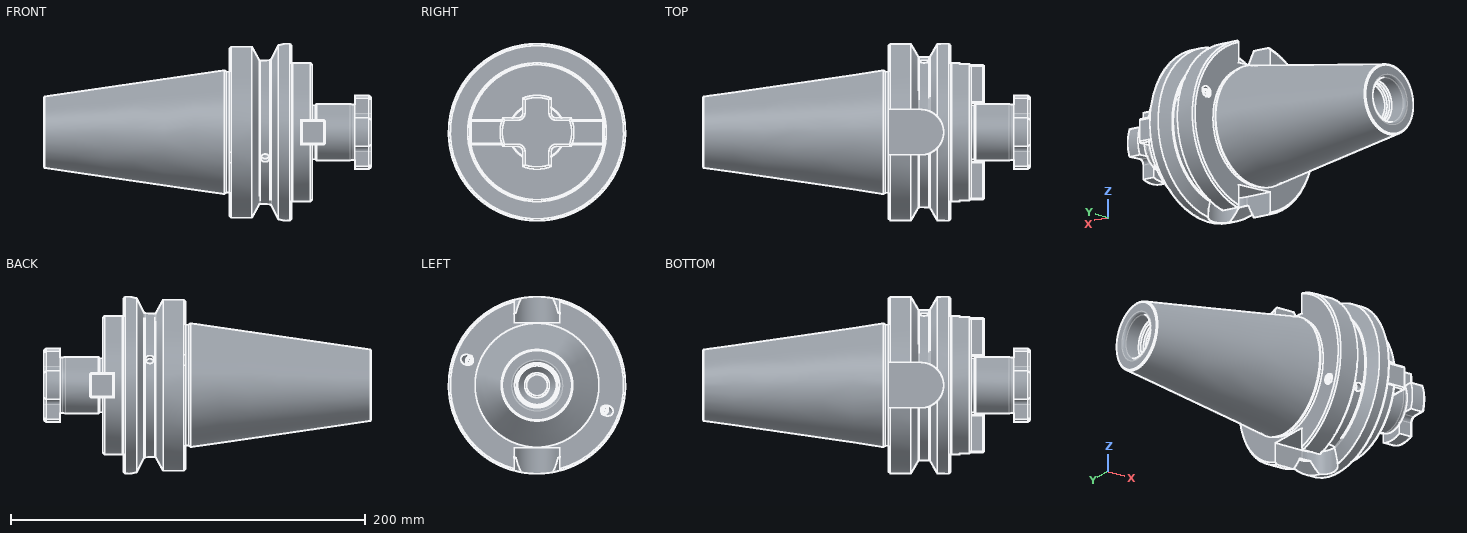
import cadquery as cq
import math

shank_end_radius = 20.1
shank_end_chamfer = 0.5
shank_length = 101.8
taper_slope = 7 / 48
taper_end_radius = shank_end_radius + taper_slope * shank_length

relief_radius = 34.2
relief_cone_length = 1.3

flange_start = 104.8
flange_end = 139.9
flange_radius = 49.99
flange_edge_chamfer = 1.1
groove_floor_radius = 42.5
groove_centre = 125.0
groove_floor_width = 6.3
groove_wall_angle = math.radians(60)
groove_corner_fillet = 0.7

slot_width = 25.7
slot_floor_height = 35.3
slot_round_centre = 123.0

boss_radius = 39.2
boss_end = 151.5
boss_chamfer = 1.1
boss_neck_radius = 38.8
boss_neck_width = 0.7
spigot_radius = 16.0
spigot_end = 175.5
spigot_relief_radius = 15.3
spigot_relief_end = 153.2
spigot_shoulder_start = 154.0
spigot_lead_start = 172.8
spigot_lead_end = 174.5
spigot_tip_radius = 15.7

bore_mouth_fillet = 1.7
bore_radius = 12.8
bore_depth = 10.3
thread_entry_radius = 11.8
thread_entry_length = 1.8
thread_radius = 10.9
thread_end = 51.7
bolt_shank_radius = 7.0
shank_start = thread_end + thread_radius - bolt_shank_radius

bolt_tip_chamfer = 1.1
head_radius = 20.9
head_end = 184.8
head_chamfer = 1.3
head_arm_width = 16.0
head_inner_fillet = 2.8

key_width = 14.0
key_start = 144.9
key_end = 159.0
key_inner = 16.3
key_outer = 38.0
key_chamfer = 1.0

coolant_turn = 20.0
coolant_circle_radius = 42.0
coolant_hole_radius = 3.0
coolant_tilt = math.radians(35)
coolant_hole_depth = 13.0
plug_recess = 2.4
plug_chamfer = 0.5
plug_socket_width = 3.0
plug_socket_depth = 2.8
cross_hole_radius = 2.4
cross_hole_point = 1.5
cross_hole_depth = 5.5

cut_margin = 1.8

opposite_turns = (0, 180)


def turned_about_x(shape, angle):
    return shape.rotate((0, 0, 0), (1, 0, 0), angle)


def revolve_about_x(points):
    """Solid of revolution from (x, radius) points."""
    return cq.Workplane("XZ").polyline(points).close().revolve(360, (0, 0, 0), (1, 0, 0))


def make_outer_form():
    wall_run = (flange_radius - groove_floor_radius) / math.tan(groove_wall_angle)
    floor_start = groove_centre - groove_floor_width / 2
    floor_end = groove_centre + groove_floor_width / 2
    outer_form = revolve_about_x([
        (0, 0),
        (0, shank_end_radius - shank_end_chamfer),
        (shank_end_chamfer, shank_end_radius + taper_slope * shank_end_chamfer),
        (shank_length, taper_end_radius),
        (shank_length + relief_cone_length, relief_radius),
        (flange_start, relief_radius),
        (flange_start, flange_radius - flange_edge_chamfer),
        (flange_start + flange_edge_chamfer, flange_radius),
        (floor_start - wall_run, flange_radius),
        (floor_start, groove_floor_radius),
        (floor_end, groove_floor_radius),
        (floor_end + wall_run, flange_radius),
        (flange_end - flange_edge_chamfer, flange_radius),
        (flange_end, flange_radius - flange_edge_chamfer),
        (flange_end, boss_neck_radius),
        (flange_end + boss_neck_width, boss_radius),
        (boss_end - boss_chamfer, boss_radius),
        (boss_end, boss_radius - boss_chamfer),
        (boss_end, spigot_relief_radius),
        (spigot_relief_end, spigot_relief_radius),
        (spigot_shoulder_start, spigot_radius),
        (spigot_lead_start, spigot_radius),
        (spigot_lead_end, spigot_tip_radius),
        (spigot_end, spigot_tip_radius),
        (spigot_end, 0),
    ])
    groove_corners = cq.selectors.NearestToPointSelector((floor_start, 0, 0))
    groove_corners = groove_corners + cq.selectors.NearestToPointSelector((floor_end, 0, 0))
    return outer_form.edges(groove_corners).fillet(groove_corner_fillet)


def make_bore():
    entry_start = bore_depth + bore_radius - thread_entry_radius
    entry_end = entry_start + thread_entry_length
    thread_start = entry_end + thread_entry_radius - thread_radius
    return revolve_about_x([
        (0, 0),
        (0, bore_radius),
        (bore_depth, bore_radius),
        (entry_start, thread_entry_radius),
        (entry_end, thread_entry_radius),
        (thread_start, thread_radius),
        (thread_end, thread_radius),
        (shank_start, bolt_shank_radius),
        (spigot_end, bolt_shank_radius),
        (spigot_end, 0),
    ])


def make_drive_slot():
    """Round-ended slot above the slot floor, open towards the shank."""
    length = slot_round_centre - shank_length
    height = flange_radius - slot_floor_height + cut_margin
    straight = cq.Workplane("XY").box(length, slot_width, height, centered=(False, True, False))
    round_end = cq.Workplane("XY").center(length, 0).circle(slot_width / 2).extrude(height)
    return straight.union(round_end).translate((shank_length, 0, slot_floor_height))


def make_key_block():
    """Sharp-edged key on the +Y side; it is also the shape of its seat."""
    return cq.Workplane("XY").box(
        key_end - key_start, key_outer - key_inner, key_width, centered=(False, False, True)
    ).translate((key_start, key_inner, 0))


def coolant_plane():
    """Plane across the coolant hole at the flange face; its normal points into the flange."""
    return cq.Plane(
        origin=(flange_start, coolant_circle_radius, 0),
        xDir=(0, 0, 1),
        normal=(math.cos(coolant_tilt), -math.sin(coolant_tilt), 0),
    )


def make_coolant_hole():
    lead = 2 * coolant_hole_radius
    return (
        cq.Workplane(coolant_plane()).workplane(offset=-lead)
        .circle(coolant_hole_radius).extrude(lead + coolant_hole_depth)
    )


def make_cross_hole():
    """Radial blind hole with a drill point in the groove floor."""
    bottom = groove_floor_radius - cross_hole_depth
    top = groove_floor_radius + cut_margin
    return (
        cq.Workplane("XY")
        .polyline([
            (0, bottom - cross_hole_point),
            (cross_hole_radius, bottom),
            (cross_hole_radius, top),
            (0, top),
        ]).close().revolve(360, (0, 0, 0), (0, 1, 0))
        .translate((groove_centre, 0, 0))
    )


def make_housing():
    bored = make_outer_form().cut(make_bore())
    bore_rim = cq.selectors.RadiusNthSelector(0)
    housing = bored.faces("<X").edges(bore_rim).fillet(bore_mouth_fillet)
    key_seat = make_key_block()
    open_seat = key_seat.union(key_seat.translate((0, boss_radius - key_outer + cut_margin, 0)))
    for turn in opposite_turns:
        housing = housing.cut(turned_about_x(make_drive_slot(), turn))
        housing = housing.cut(turned_about_x(open_seat, turn))
        housing = housing.cut(turned_about_x(make_coolant_hole(), coolant_turn + turn))
        housing = housing.cut(turned_about_x(make_cross_hole(), coolant_turn + turn))
    return housing


def make_bolt():
    head_length = head_end - spigot_end
    arm_length = 2 * head_radius
    cross = (
        cq.Workplane("YZ").rect(arm_length, head_arm_width).extrude(head_length)
        .union(cq.Workplane("YZ").rect(head_arm_width, arm_length).extrude(head_length))
    )
    corner = head_arm_width / 2
    for y in (-corner, corner):
        for z in (-corner, corner):
            inner_edge = cq.selectors.NearestToPointSelector((head_length / 2, y, z))
            cross = cross.edges("|X").edges(inner_edge).fillet(head_inner_fillet)
    disc = cq.Workplane("YZ").circle(head_radius).extrude(head_length)
    head = cross.intersect(disc).faces(">X").chamfer(head_chamfer).translate((spigot_end, 0, 0))
    shank = (
        cq.Workplane("YZ", origin=(shank_start, 0, 0))
        .circle(bolt_shank_radius).extrude(spigot_end - shank_start)
        .faces("<X").chamfer(bolt_tip_chamfer)
    )
    return head.union(shank)


def make_key(turn):
    key = make_key_block().faces(">X or >Y or <Y").chamfer(key_chamfer)
    return turned_about_x(key, turn)


def make_plug(turn):
    """Set screw with a hexagon socket, closing one coolant hole."""
    front = cq.Workplane(coolant_plane()).workplane(offset=plug_recess)
    plug = front.circle(coolant_hole_radius).extrude(coolant_hole_depth - plug_recess)
    front_face = cq.selectors.NearestToPointSelector((flange_start, coolant_circle_radius, 0))
    plug = plug.faces(front_face).chamfer(plug_chamfer)
    socket = front.polygon(6, plug_socket_width, circumscribed=True).extrude(plug_socket_depth)
    return turned_about_x(plug.cut(socket), coolant_turn + turn)


housing = make_housing()
bolt = make_bolt()
keys = [make_key(turn) for turn in opposite_turns]
plugs = [make_plug(turn) for turn in opposite_turns]

result = cq.Compound.makeCompound(
    [housing.val(), bolt.val()] + [key.val() for key in keys] + [plug.val() for plug in plugs]
)